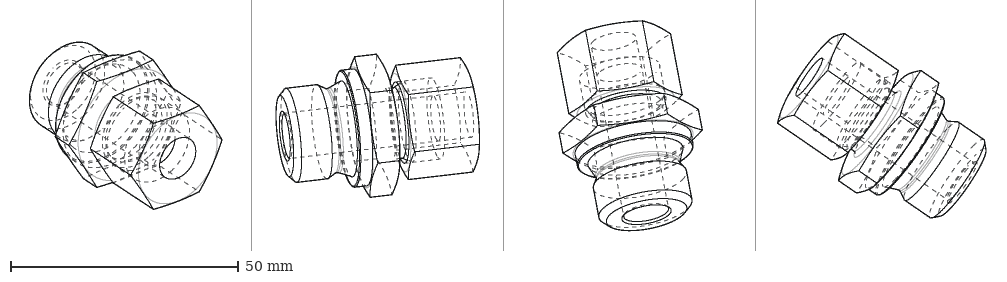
import cadquery as cq
import math


stud_length = 14.0
collar_end = 16.95
hex_end = 23.0
tail_chamfer_start = 25.6
nut_start = 25.98
tail_end = 34.05
nut_end = 41.5

stud_radius = 10.45
stud_chamfer = 1.45
bore_radius = 5.02
bore_chamfer = 0.5

groove_x = 10.55
groove_radius = 9.35
front_angle = math.radians(30)
front_blend = 0.87
rear_angle = math.radians(22.5)
rear_blend = 1.45

collar_radius = 13.0
collar_chamfer = 0.25
neck_radius = 7.85
neck_fillet = 1.0
tail_radius = 9.0
tail_angle = math.radians(30)

body_flats = 27.0
nut_flats = 22.0
hex_face_inset = 0.1
hex_chamfer_angle = math.radians(15)


def cylinder(radius, start, end):
    return cq.Workplane("YZ", origin=(start, 0, 0)).circle(radius).extrude(end - start)


def chamfered_hex(flats, start, end):
    """Hexagonal prism along X, flats facing +Z and -Z, with conical chamfers at both ends."""
    corner_radius = flats / math.sqrt(3)
    face_radius = flats / 2 - hex_face_inset
    chamfer_length = (corner_radius - face_radius) * math.tan(hex_chamfer_angle)
    prism = cq.Workplane("YZ", origin=(start, 0, 0)).polygon(6, 2 * corner_radius).extrude(end - start)
    envelope = (
        cq.Workplane("XY")
        .moveTo(start, 0)
        .lineTo(start, face_radius)
        .lineTo(start + chamfer_length, corner_radius)
        .lineTo(end - chamfer_length, corner_radius)
        .lineTo(end, face_radius)
        .lineTo(end, 0)
        .close()
        .revolve(360, (0, 0, 0), (1, 0, 0))
    )
    return prism.intersect(envelope)


def groove_arc_point(blend, angle, side):
    """Point on a groove arc where its slope is the angle; side is -1 in front of the bottom, +1 behind."""
    return (
        groove_x + side * blend * math.sin(angle),
        groove_radius + blend * (1 - math.cos(angle)),
    )


def make_turned_profile():
    """Round outer shape of the body, before the hex and the bore; the collar round runs on inside the hex."""
    groove_bottom = (groove_x, groove_radius)
    front_tangent = groove_arc_point(front_blend, front_angle, -1)
    front_middle = groove_arc_point(front_blend, front_angle / 2, -1)
    rear_tangent = groove_arc_point(rear_blend, rear_angle, 1)
    rear_middle = groove_arc_point(rear_blend, rear_angle / 2, 1)
    thread_end = front_tangent[0] - (stud_radius - front_tangent[1]) / math.tan(front_angle)
    cone_base_radius = rear_tangent[1] + (stud_length - rear_tangent[0]) * math.tan(rear_angle)

    fillet_end = hex_end + neck_fillet
    fillet_top = neck_radius + neck_fillet
    fillet_middle = (
        fillet_end - neck_fillet * math.sin(math.pi / 4),
        fillet_top - neck_fillet * math.cos(math.pi / 4),
    )
    tail_start = tail_chamfer_start + (tail_radius - neck_radius) / math.tan(tail_angle)

    return (
        cq.Workplane("XY")
        .moveTo(0, 0)
        .lineTo(0, stud_radius - stud_chamfer)
        .lineTo(stud_chamfer, stud_radius)
        .lineTo(thread_end, stud_radius)
        .lineTo(*front_tangent)
        .threePointArc(front_middle, groove_bottom)
        .threePointArc(rear_middle, rear_tangent)
        .lineTo(stud_length, cone_base_radius)
        .lineTo(stud_length, collar_radius - collar_chamfer)
        .lineTo(stud_length + collar_chamfer, collar_radius)
        .lineTo(hex_end, collar_radius)
        .lineTo(hex_end, fillet_top)
        .threePointArc(fillet_middle, (fillet_end, neck_radius))
        .lineTo(tail_chamfer_start, neck_radius)
        .lineTo(tail_start, tail_radius)
        .lineTo(tail_end, tail_radius)
        .lineTo(tail_end, 0)
        .close()
        .revolve(360, (0, 0, 0), (1, 0, 0))
    )


def make_body():
    outside = make_turned_profile().union(chamfered_hex(body_flats, collar_end, hex_end))
    bored = outside.cut(cylinder(bore_radius, 0, tail_end))
    return bored.faces("<X").edges("%CIRCLE").edges(cq.selectors.RadiusNthSelector(0)).chamfer(bore_chamfer)


def make_nut():
    """Union nut that takes the tail up to its inner shoulder; the bore carries on through its end."""
    blank = chamfered_hex(nut_flats, nut_start, nut_end)
    return blank.cut(cylinder(tail_radius, nut_start, tail_end)).cut(cylinder(bore_radius, tail_end, nut_end))


body = make_body()
nut = make_nut()

result = cq.Compound.makeCompound([body.val(), nut.val()])